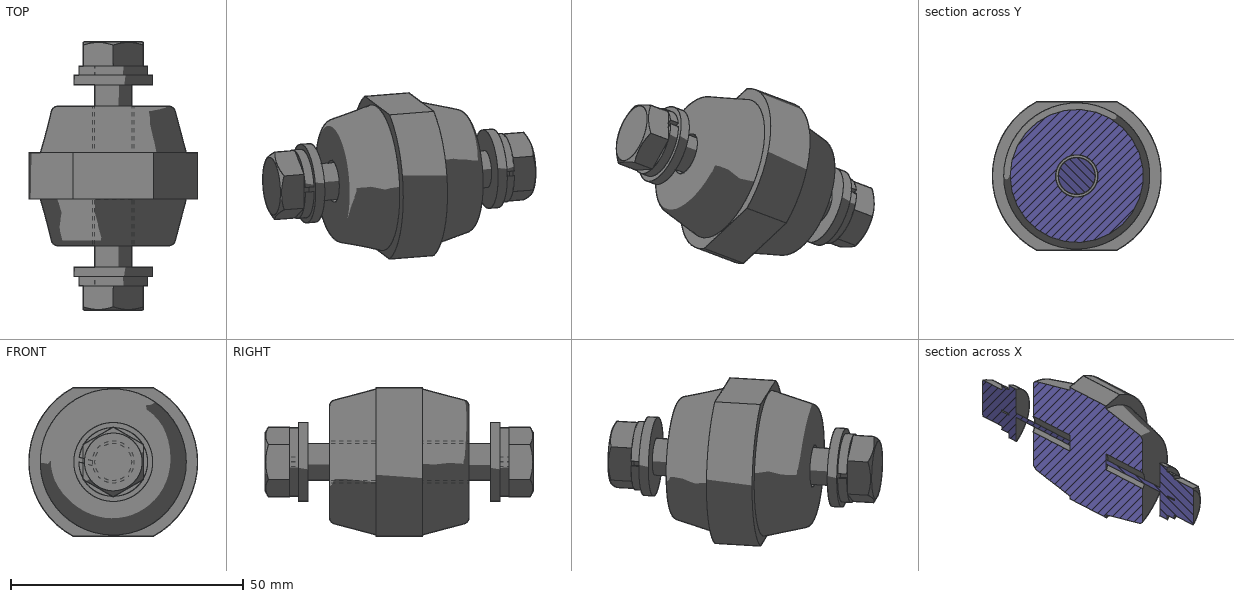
import cadquery as cq
import math

OVERALL_LENGTH = 57.8

INSULATOR_LENGTH = 30.05
BOLT_HOLE_DIAMETER = 9.0
FLANGE_WIDTH = 10.0
FLANGE_DIAMETER = 36.35
FLANGE_ACROSS_FLATS = 32.0
CONE_BASE_DIAMETER = 31.45
CONE_END_DIAMETER = 26.1
END_FILLET = 1.5

SHANK_DIAMETER = 8.0
SHANK_INSERTION = 10.0
HEAD_ACROSS_FLATS = 13.0
HEAD_HEIGHT = 5.25
HEAD_FACE_DIAMETER = 12.4
HEAD_CHAMFER_ANGLE = 30.0
FLAT_WASHER_DIAMETER = 17.0
FLAT_WASHER_THICKNESS = 2.1
SPRING_WASHER_DIAMETER = 14.8
SPRING_WASHER_THICKNESS = 1.95
SPLIT_WIDTH = 1.05
SPLIT_TILT = 15.0

INSULATOR_END = INSULATOR_LENGTH / 2
HEAD_SEAT = OVERALL_LENGTH / 2 - HEAD_HEIGHT
SPRING_WASHER_SEAT = HEAD_SEAT - SPRING_WASHER_THICKNESS
FLAT_WASHER_SEAT = SPRING_WASHER_SEAT - FLAT_WASHER_THICKNESS
SHANK_TIP = INSULATOR_END - SHANK_INSERTION


def cylinder(diameter, start, end):
    """Solid cylinder along +Y between two stations."""
    return cq.Workplane("XZ", origin=(0, start, 0)).circle(diameter / 2).extrude(start - end)


def mirrored(body):
    """Copy of a body on the opposite side of the XZ plane."""
    return body.mirror("XZ")


def make_flange():
    """Central disc with two flats, above and below the axis."""
    disc = cylinder(FLANGE_DIAMETER, -FLANGE_WIDTH / 2, FLANGE_WIDTH / 2)
    flats = cq.Workplane("XY").box(FLANGE_DIAMETER, FLANGE_WIDTH, FLANGE_ACROSS_FLATS)
    return disc.intersect(flats)


def make_cone():
    """Tapered half of the insulator, rounded at its end."""
    cone = (
        cq.Workplane("XY")
        .lineTo(CONE_BASE_DIAMETER / 2, 0)
        .lineTo(CONE_BASE_DIAMETER / 2, FLANGE_WIDTH / 2)
        .lineTo(CONE_END_DIAMETER / 2, INSULATOR_END)
        .lineTo(0, INSULATOR_END)
        .close()
        .revolve(360, (0, 0, 0), (0, 1, 0))
    )
    return cone.faces(">Y").edges().fillet(END_FILLET)


def make_insulator():
    """Flange and two cones, with a blind clearance hole for a bolt in each end."""
    cone = make_cone()
    hole = cylinder(BOLT_HOLE_DIAMETER, SHANK_TIP, INSULATOR_END)
    body = make_flange().union(cone).union(mirrored(cone))
    return body.cut(hole).cut(mirrored(hole))


def make_head():
    """Hexagon head with two corners on Z and its outer corners chamfered to a circle."""
    across_corners = HEAD_ACROSS_FLATS / math.cos(math.radians(30))
    hexagon = (
        cq.Workplane("XZ", origin=(0, HEAD_SEAT, 0))
        .transformed(rotate=(0, 0, 90))
        .polygon(6, across_corners)
        .extrude(-HEAD_HEIGHT)
    )
    chamfer_radial = (across_corners - HEAD_FACE_DIAMETER) / 2
    chamfer_axial = chamfer_radial * math.tan(math.radians(HEAD_CHAMFER_ANGLE))
    envelope = cylinder(across_corners, HEAD_SEAT, HEAD_SEAT + HEAD_HEIGHT)
    envelope = envelope.faces(">Y").chamfer(chamfer_axial, chamfer_radial)
    return hexagon.intersect(envelope)


def make_spring_washer():
    """Spring washer with an oblique split on its -X side, sloping down toward the shank."""
    ring = cylinder(SPRING_WASHER_DIAMETER, SPRING_WASHER_SEAT, HEAD_SEAT)
    rim = SPRING_WASHER_DIAMETER / 2
    slope = math.tan(math.radians(SPLIT_TILT))
    drop = rim * slope
    split = (
        cq.Workplane("XZ", origin=(0, SPRING_WASHER_SEAT, 0))
        .polyline([
            (-2 * rim, drop),
            (0, -drop),
            (0, SPLIT_WIDTH - drop),
            (-2 * rim, SPLIT_WIDTH + drop),
        ])
        .close()
        .extrude(-SPRING_WASHER_THICKNESS)
    )
    return ring.cut(split)


def make_bolt():
    """Bolt on the +Y end, in one piece with its flat washer and spring washer."""
    shank = cylinder(SHANK_DIAMETER, SHANK_TIP, HEAD_SEAT)
    flat_washer = cylinder(FLAT_WASHER_DIAMETER, FLAT_WASHER_SEAT, SPRING_WASHER_SEAT)
    return make_head().union(make_spring_washer()).union(flat_washer).union(shank)


insulator = make_insulator()

bolts = []
for on_minus_y in (False, True):
    bolt = make_bolt()
    bolts.append(mirrored(bolt) if on_minus_y else bolt)

result = cq.Compound.makeCompound([insulator.val(), *[bolt.val() for bolt in bolts]])